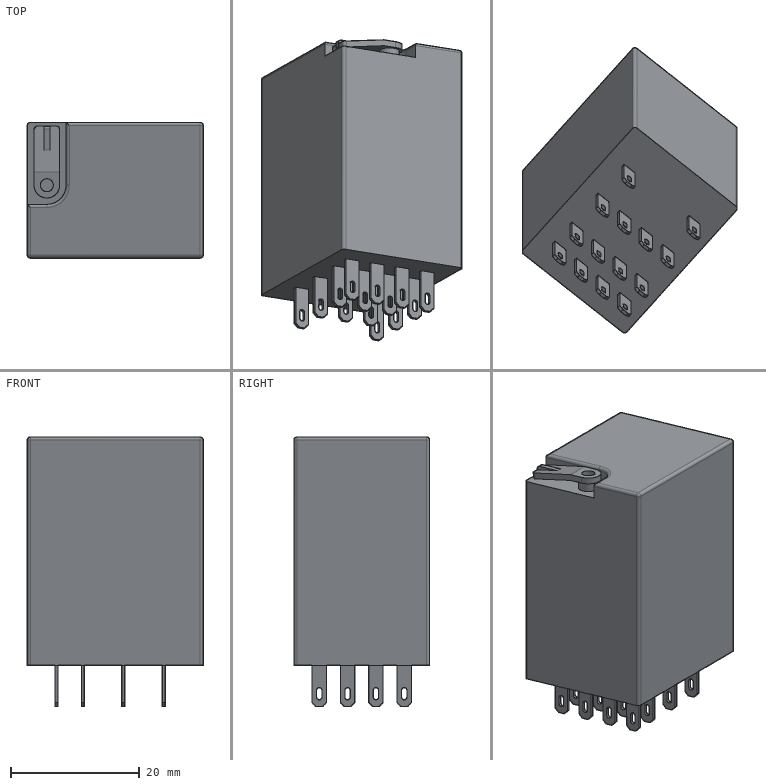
import cadquery as cq
import math


case_length = 27.5
case_width = 21.2
overall_height = 42.1
edge_radius = 0.5

terminal_length = 6.45
terminal_width = 2.27
terminal_thickness = 0.5
terminal_tip_chamfer = 0.65
terminal_hole_width = 0.8
terminal_hole_length = 1.85
terminal_hole_from_tip = 2.0
terminal_pitch_y = 4.4
terminal_rows = 4
column_pitch = 6.3
normally_closed_offset = 4.13
coil_column_x = 7.58

pocket_depth = 2.45
pocket_radius = 3.0

lever_width = 4.0
lever_thickness = 0.95
lever_slope = 10
lever_corner_radius = 0.5
lever_end_gap = 0.6
pivot_from_side = 3.07
pivot_from_back = 9.8
bend_from_back = 7.8
lever_hole_radius = 1.0
post_radius = 1.55

rib_width = 0.93
rib_length = 3.7
rib_tip_radius = 0.45

case_height = overall_height - terminal_length
side_x = -case_length / 2
back_y = case_width / 2
pocket_floor = case_height - pocket_depth
pivot_x = side_x + pivot_from_side
pivot_y = back_y - pivot_from_back
bend_y = back_y - bend_from_back
lever_tail_y = pivot_y - lever_width / 2
lever_end_y = back_y - lever_end_gap
slope_fall = math.tan(math.radians(lever_slope))


def make_case():
    """Case with rounded upright edges, a corner pocket, and a rounded rim around the whole top face."""
    block = (
        cq.Workplane("XY")
        .box(case_length, case_width, case_height, centered=(True, True, False))
        .edges("|Z")
        .fillet(edge_radius)
    )
    pocket = (
        cq.Workplane("XY", origin=(0, 0, pocket_floor))
        .moveTo(side_x, back_y)
        .lineTo(pivot_x + pocket_radius, back_y)
        .lineTo(pivot_x + pocket_radius, pivot_y)
        .radiusArc((pivot_x, pivot_y - pocket_radius), pocket_radius)
        .lineTo(side_x, pivot_y - pocket_radius)
        .close()
        .extrude(pocket_depth)
    )
    return block.cut(pocket).faces(">Z").edges().fillet(edge_radius)


def slope_height(y):
    """Height of the lever's sloping top face at a given Y."""
    return case_height - (y - bend_y) * slope_fall


def make_lever():
    """Bent strip: flat and round-ended over the pivot, sloping down to an end with rounded corners."""
    end_top = slope_height(lever_end_y)
    strip = (
        cq.Workplane("YZ", origin=(pivot_x - lever_width / 2, 0, 0))
        .moveTo(lever_tail_y, case_height)
        .lineTo(bend_y, case_height)
        .lineTo(lever_end_y, end_top)
        .lineTo(lever_end_y - lever_thickness * slope_fall, end_top - lever_thickness)
        .lineTo(bend_y, case_height - lever_thickness)
        .lineTo(lever_tail_y, case_height - lever_thickness)
        .close()
        .extrude(lever_width)
        .faces(">Y")
        .edges("not |X")
        .fillet(lever_corner_radius)
    )
    outline = (
        cq.Workplane("XY", origin=(0, 0, pocket_floor))
        .moveTo(pivot_x - lever_width / 2, back_y)
        .lineTo(pivot_x - lever_width / 2, pivot_y)
        .threePointArc((pivot_x, lever_tail_y), (pivot_x + lever_width / 2, pivot_y))
        .lineTo(pivot_x + lever_width / 2, back_y)
        .close()
        .extrude(pocket_depth)
    )
    hole = (
        cq.Workplane("XY", origin=(pivot_x, pivot_y, case_height - lever_thickness))
        .circle(lever_hole_radius)
        .extrude(lever_thickness)
    )
    return strip.intersect(outline).cut(hole)


def make_post():
    """Round post that carries the lever and closes the bottom of its hole."""
    return (
        cq.Workplane("XY", origin=(pivot_x, pivot_y, pocket_floor))
        .circle(post_radius)
        .extrude(pocket_depth - lever_thickness)
    )


def make_rib():
    """Level-topped rib that starts flush with the sloping lever and ends at its tip in a rounded nose."""
    start_y = lever_end_y - rib_length
    top = slope_height(start_y)
    foot = slope_height(lever_end_y) - lever_thickness / 2
    return (
        cq.Workplane("YZ", origin=(pivot_x - rib_width / 2, 0, 0))
        .moveTo(start_y, top)
        .lineTo(lever_end_y - rib_tip_radius, top)
        .radiusArc((lever_end_y, top - rib_tip_radius), rib_tip_radius)
        .lineTo(lever_end_y, foot)
        .lineTo(lever_end_y - lever_thickness, foot)
        .close()
        .extrude(rib_width)
    )


def make_terminal(x, y):
    """Solder lug hanging below the case, with a chamfered tip and a slotted wire hole."""
    lug = (
        cq.Workplane("XY", origin=(x, y, -terminal_length))
        .box(terminal_thickness, terminal_width, terminal_length, centered=(True, True, False))
        .faces("<Z")
        .edges("|X")
        .chamfer(terminal_tip_chamfer)
    )
    hole = (
        cq.Workplane("YZ", origin=(x, y, terminal_hole_from_tip - terminal_length))
        .slot2D(terminal_hole_length, terminal_hole_width, 90)
        .extrude(terminal_thickness, both=True)
    )
    return lug.cut(hole)


row_ys = [(row - (terminal_rows - 1) / 2) * terminal_pitch_y for row in range(terminal_rows)]
outer_row_ys = [row_ys[0], row_ys[-1]]
common_x = coil_column_x - column_pitch
normally_open_x = common_x - column_pitch
normally_closed_x = normally_open_x - normally_closed_offset
terminal_columns = [
    (normally_closed_x, row_ys),
    (normally_open_x, row_ys),
    (common_x, row_ys),
    (coil_column_x, outer_row_ys),
]

result = make_case().union(make_post()).union(make_lever()).union(make_rib())
for column_x, column_ys in terminal_columns:
    for terminal_y in column_ys:
        result = result.union(make_terminal(column_x, terminal_y))